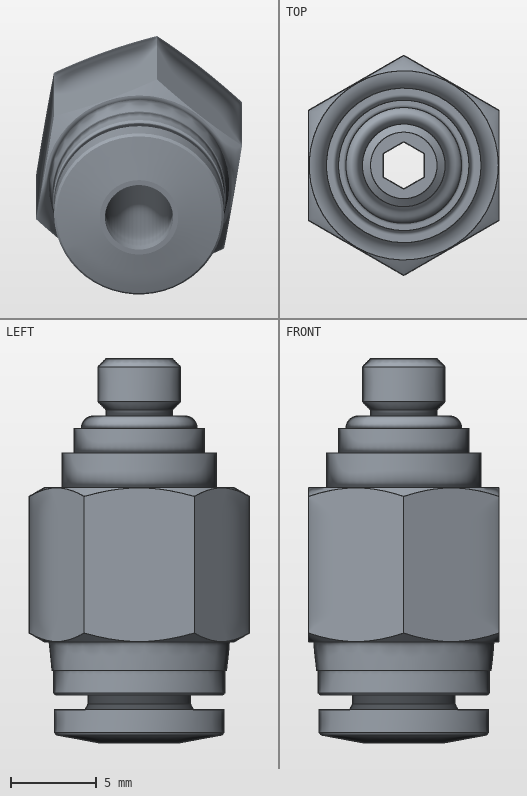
import cadquery as cq
import math

height = 22.4

hex_across_flats = 11.1
hex_bottom_z = 5.9
hex_top_z = 14.9
hex_face_diameter = 11.02
hex_chamfer_angle = 30.0
envelope_clearance = 0.22

lower_shoulder_diameter = 9.0
lower_shoulder_top_z = 16.91
upper_shoulder_diameter = 7.6
upper_shoulder_top_z = 18.35

neck_diameter = 3.88
stud_diameter = 4.82
stud_chamfer = (stud_diameter - neck_diameter) / 2
stud_bottom_z = 19.42

seal_section_radius = 0.72
seal_center_radius = neck_diameter / 2 + seal_section_radius

sleeve_top_diameter = 10.5
sleeve_taper_end_diameter = 10.17
sleeve_taper_middle_diameter = 10.37
sleeve_taper_bottom_z = 4.23
sleeve_diameter = 10.0
sleeve_bottom_z = 2.8
edge_chamfer = 0.13

stem_diameter = 5.95
stem_flare = 0.18
stem_flare_top_z = 2.28
flange_diameter = 9.9
flange_top_z = 1.95
flange_edge_top_z = 0.63
flange_edge_bottom_z = 0.47
end_face_diameter = 4.57

bore_diameter = 3.96
bore_top_z = hex_top_z
socket_across_flats = 2.37


def hex_prism(across_flats, bottom_z, top_z):
    """Upright hexagonal prism with two corners on the Y axis."""
    across_corners = across_flats / math.cos(math.pi / 6)
    return (
        cq.Workplane("XY")
        .workplane(offset=bottom_z)
        .transformed(rotate=(0, 0, 90))
        .polygon(6, across_corners)
        .extrude(top_z - bottom_z)
    )


def cylinder(diameter, bottom_z, top_z):
    return cq.Workplane("XY").workplane(offset=bottom_z).circle(diameter / 2).extrude(top_z - bottom_z)


def make_hex_body():
    """Hexagon whose corners are cut by a cone at each end."""
    body = hex_prism(hex_across_flats, hex_bottom_z, hex_top_z)
    face_radius = hex_face_diameter / 2
    corner_radius = hex_across_flats / math.sqrt(3)
    outer_radius = corner_radius + envelope_clearance
    drop = (outer_radius - face_radius) * math.tan(math.radians(hex_chamfer_angle))
    envelope = (
        cq.Workplane("XZ")
        .moveTo(0, hex_bottom_z)
        .lineTo(face_radius, hex_bottom_z)
        .lineTo(outer_radius, hex_bottom_z + drop)
        .lineTo(outer_radius, hex_top_z - drop)
        .lineTo(face_radius, hex_top_z)
        .lineTo(0, hex_top_z)
        .close()
        .revolve()
    )
    return body.intersect(envelope)


def make_stud():
    neck = cylinder(neck_diameter, upper_shoulder_top_z, stud_bottom_z)
    stud = cylinder(stud_diameter, stud_bottom_z, height)
    return neck.union(stud.faces("<Z or >Z").edges().chamfer(stud_chamfer))


def make_seal():
    return (
        cq.Workplane("XZ")
        .center(seal_center_radius, upper_shoulder_top_z)
        .circle(seal_section_radius)
        .revolve(360, (-seal_center_radius, 0), (-seal_center_radius, 1))
    )


def make_sleeve():
    """Sleeve with a slightly bulged taper above a straight band."""
    radius = sleeve_diameter / 2
    taper_middle_z = (hex_bottom_z + sleeve_taper_bottom_z) / 2
    return (
        cq.Workplane("XZ")
        .moveTo(0, sleeve_bottom_z)
        .lineTo(radius - edge_chamfer, sleeve_bottom_z)
        .lineTo(radius, sleeve_bottom_z + edge_chamfer)
        .lineTo(radius, sleeve_taper_bottom_z)
        .lineTo(sleeve_taper_end_diameter / 2, sleeve_taper_bottom_z)
        .threePointArc(
            (sleeve_taper_middle_diameter / 2, taper_middle_z),
            (sleeve_top_diameter / 2, hex_bottom_z),
        )
        .lineTo(0, hex_bottom_z)
        .close()
        .revolve()
    )


def make_button():
    """Flanged release button with a flared stem and a tapered end."""
    stem_radius = stem_diameter / 2
    flange_radius = flange_diameter / 2
    return (
        cq.Workplane("XZ")
        .lineTo(end_face_diameter / 2, 0)
        .lineTo(flange_radius - edge_chamfer, flange_edge_bottom_z)
        .lineTo(flange_radius, flange_edge_top_z)
        .lineTo(flange_radius, flange_top_z)
        .lineTo(stem_radius + stem_flare, flange_top_z)
        .lineTo(stem_radius, stem_flare_top_z)
        .lineTo(stem_radius, sleeve_bottom_z)
        .lineTo(0, sleeve_bottom_z)
        .close()
        .revolve()
    )


result = (
    make_hex_body()
    .union(cylinder(lower_shoulder_diameter, hex_top_z, lower_shoulder_top_z))
    .union(cylinder(upper_shoulder_diameter, lower_shoulder_top_z, upper_shoulder_top_z))
    .union(make_stud())
    .union(make_seal())
    .union(make_sleeve())
    .union(make_button())
    .cut(cylinder(bore_diameter, 0, bore_top_z))
    .cut(hex_prism(socket_across_flats, bore_top_z, height))
)